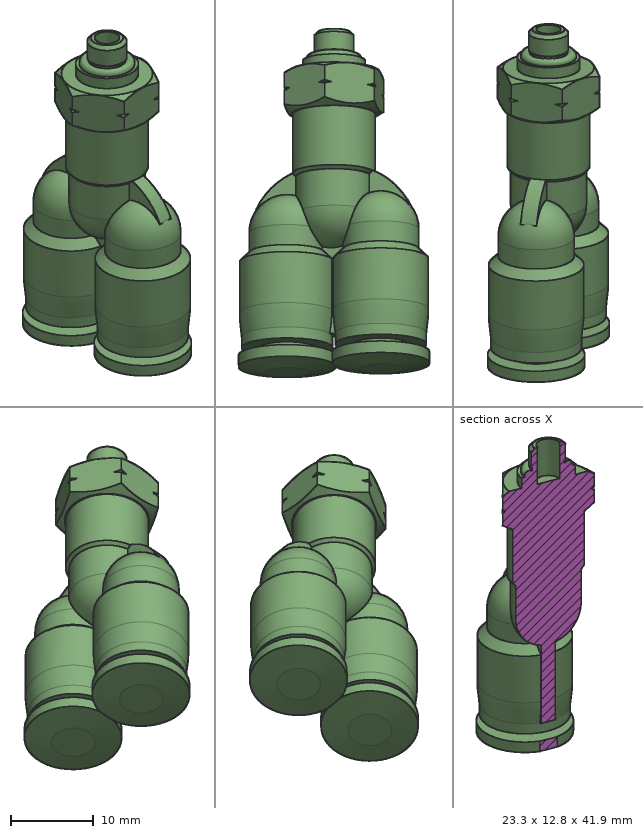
import cadquery as cq
import math

thread_diameter = 4.8
thread_tip_diameter = 3.9
bore_diameter = 3.0
thread_groove_diameter = 4.53
seal_diameter = 6.75
seal_section_radius = 0.63
collar_diameter = 7.6
body_diameter = 10.0
throat_diameter = 9.2

total_height = 41.9
thread_bottom = 39.25
seal_top = 39.1
collar_top = 38.35
hex_top = 36.95
hex_bottom = 31.68
body_bottom = 24.35
throat_top = 23.92
throat_dome_level = 19.45

hex_across_corners = 12.82
hex_top_face_diameter = 11.0
hex_bottom_face_diameter = 10.25
hex_chamfer_angle = 32
hex_chamfer_slope = math.tan(math.radians(hex_chamfer_angle))
notch_level = 34.4
notch_half_height = 0.2
notch_depth = 0.38

outlet_diameter = 11.52
outlet_offset = outlet_diameter / 2
outlet_lip_diameter = 11.0
outlet_neck_diameter = 9.2
release_stem_diameter = 6.75
release_flange_diameter = 11.77
release_face_diameter = 5.3

outlet_dome_level = 17.25
outlet_neck_bottom = 14.75
outlet_shoulder = 13.6
taper_top = 7.35
taper_bottom = 4.35
taper_bulge = 0.063
outlet_bottom = 2.97
flange_top = 2.05
flange_edge = 0.63

web_thickness = 2.0
web_bottom = taper_bottom
rib_middle = (7.4, 22.75)
rib_end = (9.43, 20.0)


def make_inlet():
    """Stepped inlet ending in a hemisphere, without the seal, nut or bore."""
    thread_radius = thread_diameter / 2
    tip_radius = thread_tip_diameter / 2
    groove_radius = thread_groove_diameter / 2
    throat_radius = throat_diameter / 2
    dome_middle = throat_radius * math.sqrt(0.5)
    return (
        cq.Workplane("XZ")
        .moveTo(0, total_height)
        .lineTo(tip_radius, total_height)
        .lineTo(thread_radius, total_height - (thread_radius - tip_radius))
        .lineTo(thread_radius, thread_bottom)
        .lineTo(groove_radius, thread_bottom)
        .lineTo(groove_radius, collar_top)
        .lineTo(collar_diameter / 2, collar_top)
        .lineTo(collar_diameter / 2, hex_top)
        .lineTo(body_diameter / 2, hex_top)
        .lineTo(body_diameter / 2, body_bottom)
        .lineTo(throat_radius, throat_top)
        .lineTo(throat_radius, throat_dome_level)
        .threePointArc(
            (dome_middle, throat_dome_level - dome_middle),
            (0, throat_dome_level - throat_radius),
        )
        .close()
        .revolve(360, (0, 0), (0, 1))
    )


def make_seal():
    """Sealing ring of round section, partly sunk into the collar."""
    section_x = seal_diameter / 2 - seal_section_radius
    section_z = seal_top - seal_section_radius
    return (
        cq.Workplane("XZ")
        .moveTo(section_x, section_z)
        .circle(seal_section_radius)
        .revolve(360, (0, 0), (0, 1))
    )


def make_nut():
    """Hexagon trimmed by a chamfered, grooved solid of revolution."""
    corner_radius = hex_across_corners / 2
    top_radius = hex_top_face_diameter / 2
    bottom_radius = hex_bottom_face_diameter / 2
    top_drop = (corner_radius - top_radius) * hex_chamfer_slope
    bottom_rise = (corner_radius - bottom_radius) * hex_chamfer_slope
    envelope = (
        cq.Workplane("XZ")
        .moveTo(0, hex_bottom)
        .lineTo(bottom_radius, hex_bottom)
        .lineTo(corner_radius, hex_bottom + bottom_rise)
        .lineTo(corner_radius, notch_level - notch_half_height)
        .lineTo(corner_radius - notch_depth, notch_level)
        .lineTo(corner_radius, notch_level + notch_half_height)
        .lineTo(corner_radius, hex_top - top_drop)
        .lineTo(top_radius, hex_top)
        .lineTo(0, hex_top)
        .close()
        .revolve(360, (0, 0), (0, 1))
    )
    hexagon = (
        cq.Workplane("XY", origin=(0, 0, hex_bottom))
        .transformed(rotate=(0, 0, 90))
        .polygon(6, hex_across_corners)
        .extrude(hex_top - hex_bottom)
    )
    return hexagon.intersect(envelope)


def make_outlet(center_x):
    """Domed outlet with its release ring."""
    neck_radius = outlet_neck_diameter / 2
    dome_middle = neck_radius * math.sqrt(0.5)
    taper_middle = (
        (outlet_lip_diameter + outlet_diameter) / 4 + taper_bulge,
        (taper_bottom + taper_top) / 2,
    )
    stem_radius = release_stem_diameter / 2
    flange_radius = release_flange_diameter / 2
    return (
        cq.Workplane("XZ")
        .lineTo(release_face_diameter / 2, 0)
        .lineTo(flange_radius, flange_edge)
        .lineTo(flange_radius, flange_top)
        .lineTo(stem_radius, flange_top)
        .lineTo(stem_radius, outlet_bottom)
        .lineTo(outlet_lip_diameter / 2, outlet_bottom)
        .lineTo(outlet_lip_diameter / 2, taper_bottom)
        .threePointArc(taper_middle, (outlet_diameter / 2, taper_top))
        .lineTo(outlet_diameter / 2, outlet_shoulder)
        .lineTo(neck_radius, outlet_neck_bottom)
        .lineTo(neck_radius, outlet_dome_level)
        .threePointArc(
            (dome_middle, outlet_dome_level + dome_middle),
            (0, outlet_dome_level + neck_radius),
        )
        .close()
        .revolve(360, (0, 0), (0, 1))
        .translate((center_x, 0, 0))
    )


def make_web():
    """Flat web joining the outlets and the throat, symmetric about X = 0."""
    rib_start_x = body_diameter / 2
    return (
        cq.Workplane("XZ")
        .moveTo(-rib_start_x, body_bottom)
        .lineTo(rib_start_x, body_bottom)
        .threePointArc(rib_middle, rib_end)
        .lineTo(outlet_offset, outlet_dome_level)
        .lineTo(outlet_offset, web_bottom)
        .lineTo(-outlet_offset, web_bottom)
        .lineTo(-outlet_offset, outlet_dome_level)
        .lineTo(-rib_end[0], rib_end[1])
        .threePointArc((-rib_middle[0], rib_middle[1]), (-rib_start_x, body_bottom))
        .close()
        .extrude(web_thickness / 2, both=True)
    )


result = make_inlet().union(make_seal()).union(make_nut()).union(make_web())
for side in (-1, 1):
    result = result.union(make_outlet(side * outlet_offset))

bore = (
    cq.Workplane("XY", origin=(0, 0, hex_top))
    .circle(bore_diameter / 2)
    .extrude(total_height - hex_top)
)
result = result.cut(bore)